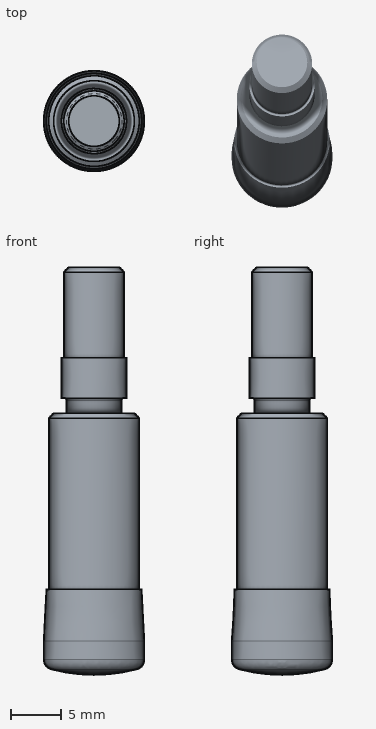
import cadquery as cq
import math

TOTAL_HEIGHT = 40.5
SHANK_RADIUS = 6.0 / 2
COLLAR_RADIUS = 6.5 / 2
NECK_RADIUS = 5.5 / 2
BODY_RADIUS = 9.0 / 2
COLLAR_TOP = 31.5
COLLAR_BOTTOM = 27.5
BODY_TOP = 26.0
CHAMFER = 0.5
NECK_FILLET = 0.2

CAP_RADIUS = 10.0 / 2
CAP_TOP_RADIUS = 4.75
CAP_HEIGHT = 8.5
BAND_TOP = 3.4
DOME_RADIUS = 16.2
RIM_FILLET = 1.0


def make_pin():
    """Stepped pin that stands on the flat top of the cap."""
    blend_radius = NECK_RADIUS + NECK_FILLET
    blend_offset = NECK_FILLET * (1 - math.sqrt(0.5))
    return (
        cq.Workplane("XZ")
        .moveTo(0, CAP_HEIGHT)
        .lineTo(BODY_RADIUS, CAP_HEIGHT)
        .lineTo(BODY_RADIUS, BODY_TOP - CHAMFER)
        .lineTo(BODY_RADIUS - CHAMFER, BODY_TOP)
        .lineTo(NECK_RADIUS, BODY_TOP)
        .lineTo(NECK_RADIUS, COLLAR_BOTTOM - NECK_FILLET)
        .threePointArc(
            (NECK_RADIUS + blend_offset, COLLAR_BOTTOM - blend_offset),
            (blend_radius, COLLAR_BOTTOM),
        )
        .lineTo(COLLAR_RADIUS, COLLAR_BOTTOM)
        .lineTo(COLLAR_RADIUS, COLLAR_TOP)
        .lineTo(SHANK_RADIUS, COLLAR_TOP)
        .lineTo(SHANK_RADIUS, TOTAL_HEIGHT - CHAMFER)
        .lineTo(SHANK_RADIUS - CHAMFER, TOTAL_HEIGHT)
        .lineTo(0, TOTAL_HEIGHT)
        .close()
        .revolve(360, (0, 0), (0, 1))
    )


def dome_height(radius):
    """Height of the domed end surface at a distance from the axis."""
    return DOME_RADIUS - math.sqrt(DOME_RADIUS**2 - radius**2)


def make_cap():
    """Solid cap with a domed lower end and a rounded rim."""
    rim_height = dome_height(CAP_RADIUS)
    mid_radius = CAP_RADIUS / 2
    cap = (
        cq.Workplane("XZ")
        .threePointArc((mid_radius, dome_height(mid_radius)), (CAP_RADIUS, rim_height))
        .lineTo(CAP_RADIUS, BAND_TOP)
        .lineTo(CAP_TOP_RADIUS, CAP_HEIGHT)
        .lineTo(0, CAP_HEIGHT)
        .close()
        .revolve(360, (0, 0), (0, 1))
    )
    rim_edge = cq.selectors.NearestToPointSelector((0, 0, rim_height))
    return cap.edges(rim_edge).fillet(RIM_FILLET)


pin = make_pin()
cap = make_cap()

result = cq.Compound.makeCompound([pin.val(), cap.val()])